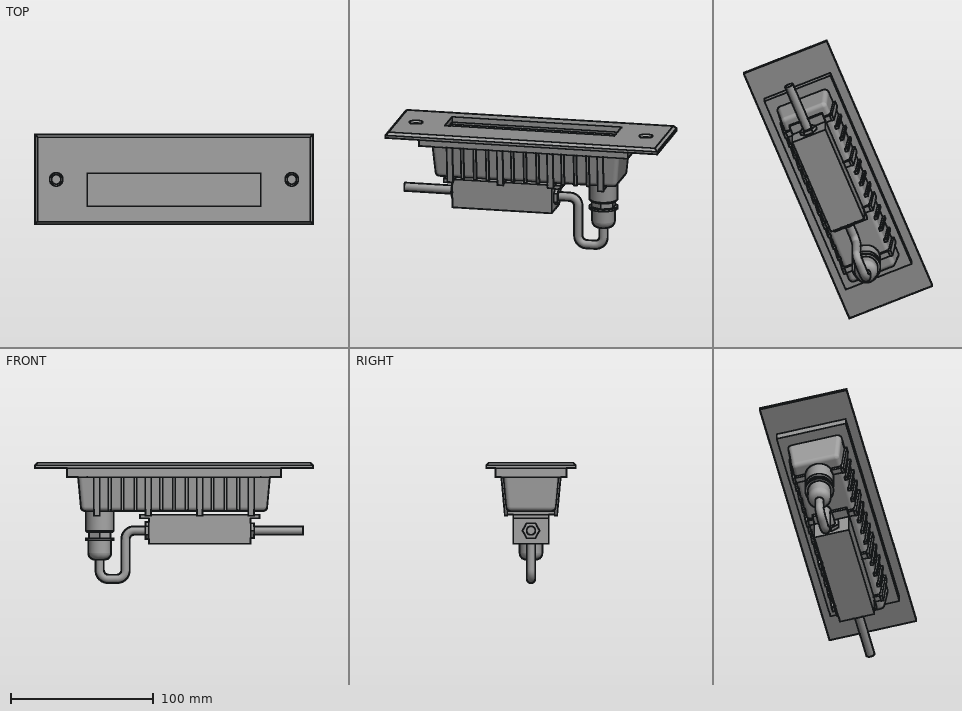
import cadquery as cq
import math


overall_height = 84.5

plate_length = 195
plate_width = 63.0
plate_thickness = 3.9
plate_chamfer = 2
screw_spacing = 165.0
countersink_diameter = 9.4
screw_hole_diameter = 6.6
countersink_depth = 1.5
screw_hole_depth = 2

window_length = 121.7
window_width = 23.0
window_offset_y = -7.2
lens_top_z = -5.5

frame_length = 150.0
frame_width = 50.0
frame_height = 6.2
frame_bottom_z = -plate_thickness - frame_height

housing_length = 134.5
housing_width = 38.6
housing_height = 23.8
housing_draft = 5.3
housing_rounding = 3.1
housing_bottom_z = frame_bottom_z - housing_height

rib_spread = 108.0
rib_count = 13
rib_pitch = rib_spread / (rib_count - 1)
ribs_per_foot = 4
narrow_rib_thickness = 2
foot_rib_thickness = 4.0
rib_projection = 1.5
rib_inner_y = 16.5
foot_bottom_z = -37
strap_thickness = 3.9
strap_height = 2.5
strap_bottom_z = housing_bottom_z - strap_height

connector_x = -52.0
connector_diameter = 19.9
connector_radius = connector_diameter / 2
connector_length = 13.6
connector_chamfer = 1.2
neck_height = 4.0
neck_corner_diameter = 17.5
collar_height = 1.4
cap_diameter = 16.2
cap_height = 13.8
cap_rounding = 4.9
neck_top_z = housing_bottom_z - connector_length - connector_chamfer
collar_top_z = neck_top_z - neck_height
cap_top_z = collar_top_z - collar_height
cap_bottom_z = cap_top_z - cap_height

driver_x = rib_pitch * ribs_per_foot / 2
driver_length = 71.2
driver_width = 25.0
driver_bottom_z = -57.0
driver_flange_length = 83.8
driver_flange_thickness = 2.5

nut_corner_diameter = 12.0
nut_thickness = 2.5
left_nut_turn = 90
right_nut_turn = 0

cable_diameter = 6.0
cable_radius = cable_diameter / 2
cable_bend_radius = 6.0
cable_z = -47.5
loop_bottom_z = -overall_height + cable_radius
loop_rise_x = -34.0
outgoing_cable_end_x = 90.5


def make_box(length, width, top_z, bottom_z, x=0, y=0):
    """Box between two levels, centred on (x, y)."""
    return (
        cq.Workplane("XY", origin=(x, y, bottom_z))
        .rect(length, width)
        .extrude(top_z - bottom_z)
    )


def make_window(top_z, bottom_z):
    """Block with the outline of the light window."""
    return make_box(window_length, window_width, top_z, bottom_z, y=window_offset_y)


def make_face_plate():
    plate = make_box(plate_length, plate_width, 0, -plate_thickness)
    plate = plate.faces(">Z").edges().chamfer(plate_chamfer)
    plate = plate.cut(make_window(0, -plate_thickness))
    mouth_radius = countersink_diameter / 2
    hole_radius = screw_hole_diameter / 2
    hole = (
        cq.Workplane("XZ")
        .moveTo(0, 0)
        .lineTo(mouth_radius, 0)
        .lineTo(hole_radius, -countersink_depth)
        .lineTo(hole_radius, -screw_hole_depth)
        .lineTo(0, -screw_hole_depth)
        .close()
        .revolve(360, (0, 0), (0, 1))
    )
    for side in (-1, 1):
        plate = plate.cut(hole.translate((side * screw_spacing / 2, 0, 0)))
    return plate


def make_frame():
    frame = make_box(frame_length, frame_width, -plate_thickness, frame_bottom_z)
    return frame.cut(make_window(-plate_thickness, frame_bottom_z))


def make_lens():
    return make_window(lens_top_z, frame_bottom_z)


def make_rib(x, thickness, bottom_z):
    """Pair of ribs, one on each long side, with outer faces parallel to the drafted walls."""
    top_y = housing_width / 2 + rib_projection
    bottom_y = top_y - (frame_bottom_z - bottom_z) * math.tan(math.radians(housing_draft))
    rib = (
        cq.Workplane("YZ", origin=(x - thickness / 2, 0, 0))
        .moveTo(rib_inner_y, frame_bottom_z)
        .lineTo(top_y, frame_bottom_z)
        .lineTo(bottom_y, bottom_z)
        .lineTo(rib_inner_y, bottom_z)
        .close()
        .extrude(thickness)
    )
    return rib.union(rib.mirror("XZ"))


def make_strap(x):
    """Bar across the housing bottom that joins a pair of long ribs."""
    return make_box(strap_thickness, 2 * rib_inner_y, housing_bottom_z, strap_bottom_z, x=x)


def make_housing():
    housing = (
        cq.Workplane("XY", origin=(0, 0, frame_bottom_z))
        .rect(housing_length, housing_width)
        .extrude(-housing_height, taper=housing_draft)
        .edges("not(|X or |Y)")
        .fillet(housing_rounding)
        .faces("<Z")
        .edges()
        .fillet(housing_rounding)
    )
    for index in range(rib_count):
        x = (index - (rib_count - 1) / 2) * rib_pitch
        if index % ribs_per_foot == 0:
            housing = housing.union(make_rib(x, foot_rib_thickness, foot_bottom_z))
            housing = housing.union(make_strap(x))
        else:
            housing = housing.union(make_rib(x, narrow_rib_thickness, housing_bottom_z))
    connector_clearance = (
        cq.Workplane("XY", origin=(connector_x, 0, housing_bottom_z))
        .circle(connector_radius)
        .extrude(-connector_length)
    )
    return housing.cut(connector_clearance)


def make_connector():
    upper = (
        cq.Workplane("XY", origin=(connector_x, 0, housing_bottom_z))
        .circle(connector_radius)
        .extrude(neck_top_z - housing_bottom_z)
        .faces("<Z")
        .chamfer(connector_chamfer)
    )
    neck = (
        cq.Workplane("XY", origin=(connector_x, 0, neck_top_z))
        .transformed(rotate=(0, 0, 90))
        .polygon(6, neck_corner_diameter)
        .extrude(-neck_height)
    )
    collar = (
        cq.Workplane("XY", origin=(connector_x, 0, collar_top_z))
        .circle(connector_radius)
        .extrude(-collar_height)
    )
    cap = (
        cq.Workplane("XY", origin=(connector_x, 0, cap_top_z))
        .circle(cap_diameter / 2)
        .extrude(-cap_height)
        .faces("<Z")
        .edges()
        .fillet(cap_rounding)
    )
    return upper.union(neck).union(collar).union(cap)


def make_driver():
    box = make_box(driver_length, driver_width, strap_bottom_z, driver_bottom_z, x=driver_x)
    flange_bottom_z = strap_bottom_z - driver_flange_thickness
    flange = make_box(driver_flange_length, driver_width, strap_bottom_z, flange_bottom_z, x=driver_x)
    return box.union(flange)


def make_nut(left_x, turn):
    """Hexagonal nut around a cable, turned about the cable axis by an angle in degrees."""
    return (
        cq.Workplane("YZ", origin=(left_x, 0, cable_z))
        .transformed(rotate=(0, 0, turn))
        .polygon(6, nut_corner_diameter)
        .circle(cable_radius)
        .extrude(nut_thickness)
    )


def make_looped_cable(end_x):
    """Cable from the connector cap, through a U-shaped loop, to the driver end."""
    bend = cable_bend_radius
    path = (
        cq.Workplane("XZ")
        .moveTo(connector_x, cap_bottom_z)
        .lineTo(connector_x, loop_bottom_z + bend)
        .radiusArc((connector_x + bend, loop_bottom_z), -bend)
        .lineTo(loop_rise_x - bend, loop_bottom_z)
        .radiusArc((loop_rise_x, loop_bottom_z + bend), -bend)
        .lineTo(loop_rise_x, cable_z - bend)
        .radiusArc((loop_rise_x + bend, cable_z), bend)
        .lineTo(end_x, cable_z)
    )
    return (
        cq.Workplane("XY", origin=(connector_x, 0, cap_bottom_z))
        .circle(cable_radius)
        .sweep(path)
    )


def make_outgoing_cable(start_x):
    return (
        cq.Workplane("YZ", origin=(start_x, 0, cable_z))
        .circle(cable_radius)
        .extrude(outgoing_cable_end_x - start_x)
    )


driver_left_x = driver_x - driver_length / 2
driver_right_x = driver_x + driver_length / 2

face_plate = make_face_plate()
frame = make_frame()
lens = make_lens()
housing = make_housing()
connector = make_connector()
driver = make_driver()
nuts = [
    make_nut(nut_x, turn)
    for nut_x, turn in (
        (driver_left_x - nut_thickness, left_nut_turn),
        (driver_right_x, right_nut_turn),
    )
]
looped_cable = make_looped_cable(driver_left_x)
outgoing_cable = make_outgoing_cable(driver_right_x)

result = cq.Compound.makeCompound([
    face_plate.val(),
    frame.val(),
    lens.val(),
    housing.val(),
    connector.val(),
    driver.val(),
    *[nut.val() for nut in nuts],
    looped_cable.val(),
    outgoing_cable.val(),
])